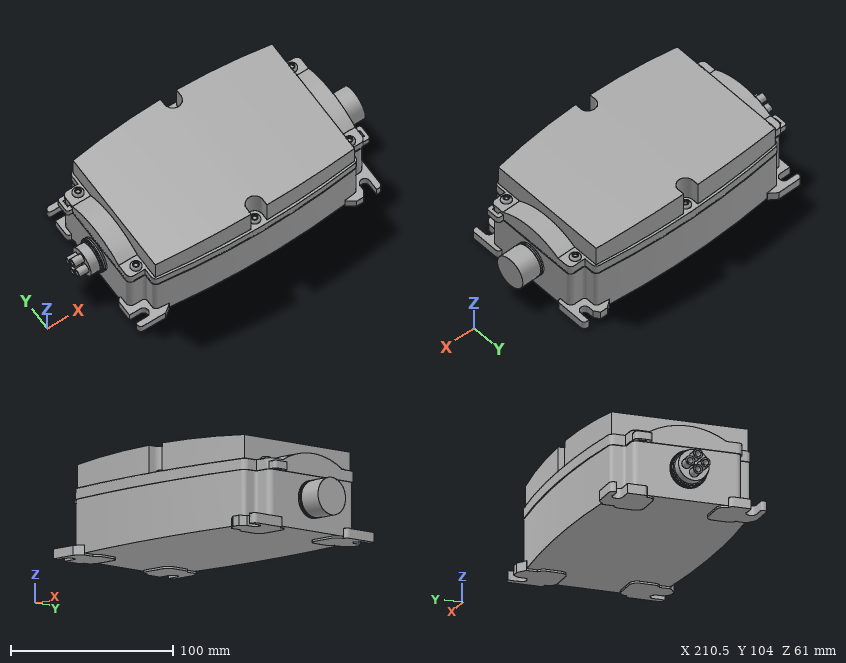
import cadquery as cq
import math

width = 104.0
height = 61.0

body_bottom = 1.3
foot_top = 6.3
rim_bottom = 36.0
tab_top = 40.8
rim_top = 43.0
arch_top = 49.9
cover_end_top = 58.0
connector_z = 21.0

rim_half_length = 76.2
rim_corner_y = 46.5
rim_mid_y = 51.8
ear_half_length = 88.2
ear_half_width = 36.8
corner_radius = 3.8
body_inset = 0.6
body_corner_y = 46.3
body_corner_radius = 2.7
body_inner_radius = 2.3
body_end = ear_half_length - body_inset

cover_half_length = 74.3
cover_corner_y = 45.2
cover_mid_y = 49.9
notch_half_width = 5.9
arch_half_width = 25.5

corner_screw_x = 79.5
corner_screw_y = 31.8
mid_screw_y = 45.0
screw_radius = 3.8
screw_flat_radius = 2.0
screw_height = 1.9
socket_width = 3.4
socket_depth = 1.3
dome_bulge = 0.25

foot_half_length = 90.5
foot_half_width = width / 2
foot_inner_y = 27.0
foot_bevel_x = 71.1
foot_bevel_depth = 4.2
foot_inner_x = 65.5
foot_radius = 2.7
slot_width = 6.7
end_slot_x = 82.3
side_slot_x = 82.7
slot_y = 44.2
side_slot_bevel_width = 2.7
side_slot_bevel_depth = 4.0
prong_tip_radius = 1.3
pad_inner_x = 62.5
pad_inner_y = 21.0
pad_radius = 5.3

tab_half_length = 92.4
tab_y = 30.5
tab_width = 11.2
tab_radius = 1.9
tab_hole_end = 89.8
tab_hole_width = 4.8

connector_radius = 11.8
pin_connector_end = 105.5
socket_connector_end = 105.0
neck_radius = 10.0
neck_end = 98.3
lip_radius = 11.0
lip_end = 91.5
collar_end = 90.7
pin_count = 4
pin_offset = 5.0
pin_radius = 3.0
pin_bore_radius = 1.9
centre_hole_radius = 0.6
centre_hole_depth = 1.0
groove_start = 88.5
groove_width = 1.3
groove_depth = 0.32


def bowed_outline(half_length, corner_y, mid_y):
    """Rectangle in plan whose two long sides bow outwards."""
    return (
        cq.Workplane("XY")
        .moveTo(-half_length, -corner_y)
        .threePointArc((0, -mid_y), (half_length, -corner_y))
        .lineTo(half_length, corner_y)
        .threePointArc((0, mid_y), (-half_length, corner_y))
        .close()
    )


def box_layer(bottom, top, inset, corner_y, middle_radius):
    """Slab with the bowed middle and the narrower ears at both ends."""
    depth = top - bottom
    middle = bowed_outline(rim_half_length - inset, corner_y, rim_mid_y - inset)
    middle = middle.extrude(depth).edges("|Z").fillet(middle_radius)
    ears = cq.Workplane("XY").rect(2 * (ear_half_length - inset), 2 * (ear_half_width - inset))
    ears = ears.extrude(depth).edges("|Z").fillet(corner_radius)
    return middle.union(ears).translate((0, 0, bottom))


def make_body():
    """Lower box, set in from the rim, with rounded corners where the ears meet the middle."""
    body = box_layer(body_bottom, rim_bottom, body_inset, body_corner_y, body_corner_radius)
    reach_x = rim_half_length
    reach_y = ear_half_width
    inner_corners = cq.selectors.BoxSelector((-reach_x, -reach_y, 0), (reach_x, reach_y, height))
    return body.edges("|Z").edges(inner_corners).fillet(body_inner_radius)


def make_rim():
    """Rim of the lid, overhanging the body all round."""
    return box_layer(rim_bottom, rim_top, 0, rim_corner_y, corner_radius)


def make_cover():
    """Raised cover with bowed sides, a crowned top and a screw notch in each long side."""
    cover = bowed_outline(cover_half_length, cover_corner_y, cover_mid_y)
    cover = cover.extrude(height - rim_top).translate((0, 0, rim_top))
    crown = (
        cq.Workplane("XZ")
        .moveTo(-cover_half_length, 0)
        .lineTo(-cover_half_length, cover_end_top)
        .threePointArc((0, height), (cover_half_length, cover_end_top))
        .lineTo(cover_half_length, 0)
        .close()
        .extrude(cover_mid_y, both=True)
    )
    cover = cover.intersect(crown)
    for side in (-1, 1):
        notch = (
            cq.Workplane("XY", origin=(0, side * mid_screw_y, rim_top))
            .circle(notch_half_width)
            .extrude(height)
        )
        notch_mouth = (
            cq.Workplane("XY", origin=(0, side * (mid_screw_y + notch_half_width), rim_top))
            .rect(2 * notch_half_width, 2 * notch_half_width)
            .extrude(height)
        )
        cover = cover.cut(notch).cut(notch_mouth)
    return cover


def make_arches():
    """Low arched hump across both ears."""
    return (
        cq.Workplane("YZ")
        .moveTo(-arch_half_width, rim_top)
        .threePointArc((0, arch_top), (arch_half_width, rim_top))
        .close()
        .extrude(ear_half_length, both=True)
    )


def make_screw_head():
    """Domed screw head with a flat top and a hexagonal socket, base at the origin."""
    mid_radius = (screw_radius + screw_flat_radius) / 2 + dome_bulge
    head = (
        cq.Workplane("XZ")
        .lineTo(screw_radius, 0)
        .threePointArc((mid_radius, screw_height / 2 + dome_bulge), (screw_flat_radius, screw_height))
        .lineTo(0, screw_height)
        .close()
        .revolve(360, (0, 0), (0, 1))
    )
    return head.faces(">Z").workplane().polygon(6, socket_width).cutBlind(-socket_depth)


def place_screws(part):
    """Four screws on the ears and one in each cover notch."""
    places = [(0, -mid_screw_y), (0, mid_screw_y)]
    for x in (-corner_screw_x, corner_screw_x):
        places += [(x, -corner_screw_y), (x, corner_screw_y)]
    head = make_screw_head()
    for x, y in places:
        part = part.union(head.translate((x, y, rim_top)))
    return part


def make_foot():
    """Foot plate in the +X +Y corner before slotting, on a thin pad reaching under the box."""
    plate = (
        cq.Workplane("XY")
        .moveTo(foot_inner_x, foot_inner_y)
        .lineTo(foot_half_length, foot_inner_y)
        .lineTo(foot_half_length, foot_half_width)
        .lineTo(foot_bevel_x, foot_half_width)
        .lineTo(foot_inner_x, foot_half_width - foot_bevel_depth)
        .close()
        .extrude(foot_top)
        .edges("|Z and >X")
        .fillet(foot_radius)
    )
    pad_width = slot_y - slot_width / 2 - pad_inner_y
    pad = (
        cq.Workplane("XY")
        .center((pad_inner_x + body_end) / 2, pad_inner_y + pad_width / 2)
        .rect(body_end - pad_inner_x, pad_width)
        .extrude(body_bottom)
        .edges("|Z")
        .fillet(pad_radius)
    )
    return plate.union(pad)


def make_end_slot():
    """Slot open towards +X."""
    reach = foot_half_length - end_slot_x
    slot = cq.Workplane("XY").center(end_slot_x, slot_y).circle(slot_width / 2).extrude(foot_top)
    mouth = (
        cq.Workplane("XY")
        .center(end_slot_x + reach / 2, slot_y)
        .rect(reach, slot_width)
        .extrude(foot_top)
    )
    return slot.union(mouth)


def make_side_slot():
    """Slot open towards +Y, with its inner prong bevelled."""
    left = side_slot_x - slot_width / 2
    right = side_slot_x + slot_width / 2
    slot = cq.Workplane("XY").center(side_slot_x, slot_y).circle(slot_width / 2).extrude(foot_top)
    mouth = (
        cq.Workplane("XY")
        .moveTo(left, slot_y)
        .lineTo(right, slot_y)
        .lineTo(right, foot_half_width)
        .lineTo(left - side_slot_bevel_width, foot_half_width)
        .lineTo(left, foot_half_width - side_slot_bevel_depth)
        .close()
        .extrude(foot_top)
    )
    return slot.union(mouth)


def make_feet():
    """Slots run along Y at the +X end and along X at the -X end."""
    side_slotted = make_foot().cut(make_side_slot())
    end_slotted = make_foot().cut(make_end_slot())
    tip_y = slot_y + slot_width / 2
    prong_tip = cq.selectors.BoxSelector(
        (foot_half_length - prong_tip_radius, tip_y - prong_tip_radius, 0),
        (foot_half_length + prong_tip_radius, tip_y + prong_tip_radius, foot_top),
    )
    end_slotted = end_slotted.edges("|Z").edges(prong_tip).fillet(prong_tip_radius).mirror("YZ")
    feet = side_slotted.union(end_slotted)
    return feet.union(feet.mirror("XZ"))


def make_tab():
    """Lug on the +X end with a slot beside the end wall."""
    hole_length = tab_hole_end - ear_half_length
    tab = (
        cq.Workplane("XY", origin=(0, -tab_y, rim_bottom))
        .moveTo((tab_half_length + rim_half_length) / 2, 0)
        .rect(tab_half_length - rim_half_length, tab_width)
        .extrude(tab_top - rim_bottom)
        .edges("|Z and >X")
        .fillet(tab_radius)
    )
    hole = (
        cq.Workplane("XY", origin=(ear_half_length + hole_length / 2, -tab_y, rim_bottom))
        .rect(hole_length, tab_hole_width)
        .extrude(tab_top - rim_bottom)
    )
    return tab.cut(hole)


def x_cylinder(radius, start, end, y=0.0, z=connector_z):
    """Cylinder along X between two places."""
    return cq.Workplane("YZ", origin=(start, y, z)).circle(radius).extrude(end - start)


def cut_groove(connector):
    """Shallow ring turned into a connector that points along +X."""
    groove_end = groove_start + groove_width
    ring = x_cylinder(connector_radius, groove_start, groove_end)
    core = x_cylinder(connector_radius - groove_depth, groove_start, groove_end)
    return connector.cut(ring.cut(core))


def make_socket_connector():
    """Plain cylindrical connector, grooved next to the end wall."""
    barrel = x_cylinder(connector_radius, rim_half_length, socket_connector_end)
    return cut_groove(barrel)


def make_pin_connector():
    """Stepped connector carrying a ring of hollow pins, built pointing along +X."""
    collar = x_cylinder(connector_radius, rim_half_length, collar_end)
    connector = cut_groove(collar)
    connector = connector.union(x_cylinder(lip_radius, collar_end, lip_end))
    connector = connector.union(x_cylinder(neck_radius, lip_end, neck_end))
    centre_hole = x_cylinder(centre_hole_radius, neck_end - centre_hole_depth, neck_end)
    connector = connector.cut(centre_hole)
    for index in range(pin_count):
        angle = 2 * math.pi * index / pin_count
        y = pin_offset * math.cos(angle)
        z = connector_z + pin_offset * math.sin(angle)
        pin = x_cylinder(pin_radius, neck_end, pin_connector_end, y, z)
        bore = x_cylinder(pin_bore_radius, neck_end, pin_connector_end, y, z)
        connector = connector.union(pin.cut(bore))
    return connector.mirror("YZ")


result = make_body().union(make_rim())
result = result.union(make_arches()).union(make_cover())
tab = make_tab()
result = result.union(tab).union(tab.rotate((0, 0, 0), (0, 0, 1), 180))
result = result.union(make_feet())
result = result.union(make_socket_connector()).union(make_pin_connector())
result = place_screws(result)